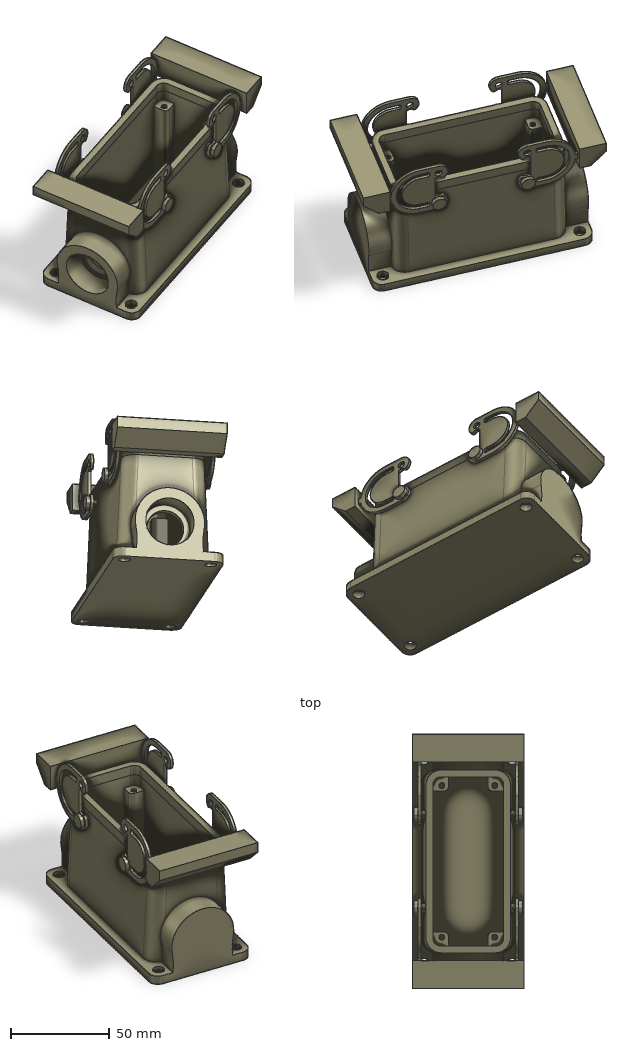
import cadquery as cq
import math

FLANGE_WIDTH = 57.0
FLANGE_LENGTH = 117.1
FLANGE_HEIGHT = 4.9
FLANGE_CORNER = 5.2
MOUNT_X = 22.4
MOUNT_Y = 52.5
MOUNT_DIAMETER = 6.0

FOOT_WIDTH = 47.8
RIM_WIDTH = 43.0
SHELL_LENGTH = 93.0
WALL = 3.5
OUTER_CORNER = 7.5
INNER_CORNER = OUTER_CORNER - WALL
SHELL_TOP = 58.5
CAVITY_WIDTH = RIM_WIDTH - 2 * WALL
CAVITY_LENGTH = SHELL_LENGTH - 2 * WALL

RIM_HEIGHT = 5.6

PILLAR_X = 10.1
PILLAR_Y = 35.9
PILLAR_TOP = 52.0
PILLAR_ROUND = 2.2
SCREW_X = 13.5
SCREW_Y = 38.6
SCREW_DIAMETER = 3.0
SCREW_DEPTH = 15.5

ENTRY_Z = 20.0
BOSS_RADIUS = 18.0
WAIST_RADIUS = 41.5
WAIST_START_Z = 16.8
BORE_DIAMETER = 25.0
PASSAGE_DIAMETER = 19.0
BORE_DEPTH = 12.0

LEVER_Y = 33.7
LEVER_Z = 64.5
LEVER_RADIUS = 15.5
CHEEK_OUTER_X = 25.5
CHEEK_THICKNESS = 1.5
CHEEK_INNER_X = CHEEK_OUTER_X - CHEEK_THICKNESS
CHEEK_EDGE_Y = 25.5
EYE_Y = 23.7
EYE_OFFSET = 10.6
EYE_DIAMETER = 3.9
HOOK_RADIUS = LEVER_RADIUS - EYE_OFFSET
NOTCH_OFFSET = 5.5
NOTCH_RADIUS = 2.5
TIP_RADIUS = 1.2
SLOT_OUTER_RADIUS = 12.5
SLOT_INNER_RADIUS = 9.5
SLOT_END_Y = 28.4
SLOT_END_ROUND = 1.2
NECK_HEIGHT = 3.9

GRIP_WIDTH = FLANGE_WIDTH
GRIP_INNER_Y = 50.5
GRIP_OUTER_Y = 64.8
GRIP_BOTTOM = 58.4
GRIP_TOP = 72.4
GRIP_CHAMFER = 8.3

PIN_Z = LEVER_Z - EYE_OFFSET
PIN_HEAD_DIAMETER = 7.4
PIN_HEAD_X = 27.6
PIN_ROOT_X = 20.7

SIDES = (-1, 1)
COS_45 = math.sqrt(0.5)


def rounded_block(width, length, corner, bottom, height):
    """Block centred on the Z axis with rounded vertical edges."""
    block = cq.Workplane("XY").workplane(offset=bottom).rect(width, length).extrude(height)
    return block.edges("|Z").fillet(corner)


def make_flange():
    flange = rounded_block(FLANGE_WIDTH, FLANGE_LENGTH, FLANGE_CORNER, 0, FLANGE_HEIGHT)
    spots = [(sx * MOUNT_X, sy * MOUNT_Y) for sx in SIDES for sy in SIDES]
    return flange.faces(">Z").workplane(origin=(0, 0, 0)).pushPoints(spots).hole(MOUNT_DIAMETER)


def make_shell():
    """Tapered solid body of the housing, before hollowing."""
    shell = (
        cq.Workplane("XZ")
        .moveTo(-FOOT_WIDTH / 2, FLANGE_HEIGHT)
        .lineTo(FOOT_WIDTH / 2, FLANGE_HEIGHT)
        .lineTo(RIM_WIDTH / 2, SHELL_TOP)
        .lineTo(-RIM_WIDTH / 2, SHELL_TOP)
        .close()
        .extrude(SHELL_LENGTH / 2, both=True)
    )
    return shell.edges("not(|X or |Y)").fillet(OUTER_CORNER)


def make_cavity():
    depth = SHELL_TOP + RIM_HEIGHT - FLANGE_HEIGHT
    return rounded_block(CAVITY_WIDTH, CAVITY_LENGTH, INNER_CORNER, FLANGE_HEIGHT, depth)


def make_bosses():
    """Round bosses with waisted sides, running through from end to end."""
    start_x = math.sqrt(BOSS_RADIUS**2 - (ENTRY_Z - WAIST_START_Z) ** 2)
    ratio = (BOSS_RADIUS + WAIST_RADIUS) / BOSS_RADIUS
    waist_x = start_x * ratio
    waist_z = ENTRY_Z - (ENTRY_Z - WAIST_START_Z) * ratio

    def waist_point(z):
        return waist_x - math.sqrt(WAIST_RADIUS**2 - (z - waist_z) ** 2), z

    foot = waist_point(FLANGE_HEIGHT)
    middle = waist_point((FLANGE_HEIGHT + WAIST_START_Z) / 2)
    return (
        cq.Workplane("XZ")
        .moveTo(*foot)
        .threePointArc(middle, (start_x, WAIST_START_Z))
        .threePointArc((0, ENTRY_Z + BOSS_RADIUS), (-start_x, WAIST_START_Z))
        .threePointArc((-middle[0], middle[1]), (-foot[0], foot[1]))
        .lineTo(-foot[0], 0)
        .lineTo(foot[0], 0)
        .close()
        .extrude(FLANGE_LENGTH / 2, both=True)
    )


def make_entry_cut():
    """Stepped cable bore through the -Y end."""
    face = cq.Workplane("XZ", origin=(0, -FLANGE_LENGTH / 2, ENTRY_Z))
    bore = face.circle(BORE_DIAMETER / 2).extrude(-BORE_DEPTH)
    passage = face.circle(PASSAGE_DIAMETER / 2).extrude(-(FLANGE_LENGTH - CAVITY_LENGTH) / 2)
    return bore.union(passage)


def make_pillars(cavity):
    """Four screw pillars that fill the cavity corners."""
    pillars = []
    size_x = CAVITY_WIDTH / 2 - PILLAR_X
    size_y = CAVITY_LENGTH / 2 - PILLAR_Y
    height = PILLAR_TOP - FLANGE_HEIGHT
    for sx in SIDES:
        for sy in SIDES:
            centre = (sx * (PILLAR_X + size_x / 2), sy * (PILLAR_Y + size_y / 2), FLANGE_HEIGHT)
            inward = cq.selectors.NearestToPointSelector((sx * PILLAR_X, sy * PILLAR_Y, PILLAR_TOP / 2))
            pillar = (
                cq.Workplane("XY", origin=centre)
                .rect(size_x, size_y)
                .extrude(height)
                .edges("|Z")
                .edges(inward)
                .fillet(PILLAR_ROUND)
            )
            screw = (
                cq.Workplane("XY", origin=(sx * SCREW_X, sy * SCREW_Y, PILLAR_TOP))
                .circle(SCREW_DIAMETER / 2)
                .extrude(-SCREW_DEPTH)
            )
            pillars.append(pillar.intersect(cavity).cut(screw))
    return pillars


def half_cheek_outline():
    """Upper half of a cheek plate, in (y, height above the lever axis)."""
    notch_z = EYE_OFFSET - NOTCH_OFFSET
    to_notch = NOTCH_RADIUS + TIP_RADIUS
    to_eye = HOOK_RADIUS - TIP_RADIUS
    tip_rise = (to_notch**2 - to_eye**2 + NOTCH_OFFSET**2) / (2 * NOTCH_OFFSET)
    tip_y = EYE_Y - math.sqrt(to_notch**2 - tip_rise**2)
    tip_z = notch_z + tip_rise

    hook_end = (
        EYE_Y + (tip_y - EYE_Y) * HOOK_RADIUS / to_eye,
        EYE_OFFSET + (tip_z - EYE_OFFSET) * HOOK_RADIUS / to_eye,
    )
    tip_end = (
        EYE_Y + (tip_y - EYE_Y) * NOTCH_RADIUS / to_notch,
        notch_z + tip_rise * NOTCH_RADIUS / to_notch,
    )
    notch_end_z = notch_z + math.sqrt(NOTCH_RADIUS**2 - (CHEEK_EDGE_Y - EYE_Y) ** 2)
    diagonal = LEVER_RADIUS * COS_45
    hook_diagonal = HOOK_RADIUS * COS_45
    return (
        cq.Workplane("YZ")
        .moveTo(CHEEK_EDGE_Y, 0)
        .lineTo(LEVER_Y + LEVER_RADIUS, 0)
        .threePointArc((LEVER_Y + diagonal, diagonal), (LEVER_Y, LEVER_RADIUS))
        .lineTo(EYE_Y, LEVER_RADIUS)
        .threePointArc((EYE_Y - hook_diagonal, EYE_OFFSET + hook_diagonal), hook_end)
        .threePointArc((tip_y, tip_z - TIP_RADIUS), tip_end)
        .threePointArc((EYE_Y, notch_z + NOTCH_RADIUS), (CHEEK_EDGE_Y, notch_end_z))
        .close()
    )


def slot_profile(radius):
    """U-shaped area between the slot ends, bounded by one slot wall."""
    return (
        cq.Workplane("YZ")
        .moveTo(SLOT_END_Y, -radius)
        .lineTo(LEVER_Y, -radius)
        .threePointArc((LEVER_Y + radius, 0), (LEVER_Y, radius))
        .lineTo(SLOT_END_Y, radius)
        .close()
        .extrude(CHEEK_THICKNESS)
    )


def make_cheek():
    """One cheek plate of the +Y lever, standing on the YZ plane about the lever axis."""
    upper = half_cheek_outline().extrude(CHEEK_THICKNESS)
    lower = upper.mirror("XY")
    eye = cq.Workplane("YZ").center(EYE_Y, EYE_OFFSET).circle(EYE_DIAMETER / 2).extrude(CHEEK_THICKNESS)
    slot = slot_profile(SLOT_OUTER_RADIUS).cut(slot_profile(SLOT_INNER_RADIUS))
    slot = slot.faces("<Y").edges("|X").fillet(SLOT_END_ROUND)
    neck_start = LEVER_Y + (SLOT_OUTER_RADIUS + LEVER_RADIUS) / 2
    neck = cq.Workplane("XY").box(
        CHEEK_THICKNESS, GRIP_INNER_Y - neck_start, NECK_HEIGHT, centered=(False, False, True)
    )
    return upper.union(lower).union(neck.translate((0, neck_start, 0))).cut(eye).cut(slot)


def make_grip():
    """Grip bar of the +Y lever, with its lower outer edge cut at 45 degrees."""
    return (
        cq.Workplane("YZ")
        .moveTo(GRIP_INNER_Y, GRIP_BOTTOM)
        .lineTo(GRIP_OUTER_Y - GRIP_CHAMFER, GRIP_BOTTOM)
        .lineTo(GRIP_OUTER_Y, GRIP_BOTTOM + GRIP_CHAMFER)
        .lineTo(GRIP_OUTER_Y, GRIP_TOP)
        .lineTo(GRIP_INNER_Y, GRIP_TOP)
        .close()
        .extrude(GRIP_WIDTH / 2, both=True)
    )


def make_pin():
    """Headed hinge pin of the +X cheek, reaching into the housing wall."""
    root = cq.Workplane("YZ", origin=(PIN_ROOT_X, EYE_Y, PIN_Z))
    shank = root.circle(EYE_DIAMETER / 2).extrude(PIN_HEAD_X - PIN_ROOT_X)
    seat = cq.Workplane("YZ", origin=(CHEEK_OUTER_X, EYE_Y, PIN_Z))
    head = seat.circle(PIN_HEAD_DIAMETER / 2).extrude(PIN_HEAD_X - CHEEK_OUTER_X)
    return shank.union(head)


def make_lever():
    """Complete +Y lever with its two hinge pins."""
    side = make_cheek().translate((CHEEK_INNER_X, 0, LEVER_Z)).union(make_pin())
    return make_grip().union(side).union(side.mirror("YZ"))


def make_housing():
    """Housing with its cable entry, screw pillars and both hinged levers."""
    cavity = make_cavity()
    lever = make_lever()
    housing = make_flange().union(make_shell()).union(make_bosses()).cut(cavity).cut(make_entry_cut())
    for pillar in make_pillars(cavity):
        housing = housing.union(pillar)
    return housing.union(lever).union(lever.mirror("XZ"))


def make_rim():
    """Sealing rim that continues the housing wall upward."""
    rim = rounded_block(RIM_WIDTH, SHELL_LENGTH, OUTER_CORNER, SHELL_TOP, RIM_HEIGHT)
    return rim.cut(make_cavity())


housing = make_housing().solids()
rim = make_rim().solids()
result = cq.Compound.makeCompound([housing.val(), rim.val()])